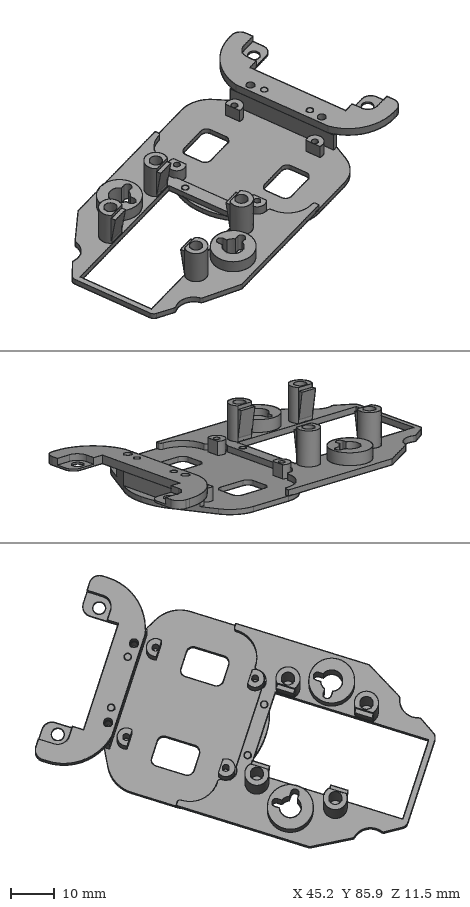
import cadquery as cq
import math


deck_top = 1.3
frame_top = 2.8
deck_boss_top = 4.7
bracket_bottom = 5.9
ring_top = bracket_bottom
bracket_top = 8.0
post_top = 11.5

pin_d = 1.5
pin_hole_d = 1.7
pin_x = 6.25
frame_pin_y = 13.2
bracket_pin_y = 45.9
screw_x = 9.75
screw_y = 45.5
screw_pilot_d = 1.55
screw_pilot_depth = 4.0
screw_clearance_d = 2.0

deck_half_width = 22.25
deck_center_y = 30.55
deck_straight_half = 5.4
deck_corner_r = 7.9
deck_turn = math.radians(62)
deck_half_length = 19.75
deck_end_half_width = 8.65
deck_slope = math.pi / 2 - deck_turn

deck_boss_x = 11.0
deck_boss_r = 2.1
rear_boss_y = 40.75
rear_boss_flat = 0.8
front_boss_y = 16.9
front_boss_flat = 1.25

deck_window_size = (7.3, 10.1)
deck_window_y = 28.95
deck_window_r = 1.6

wall_half_width = 14.15
wall_front = 43.75
wall_back = 48.1

frame_half_width = 22.4
frame_front = -26.42
frame_rear = 25.2
frame_shoulder_y = -6.8
frame_waist_start = (17.3, -15.8)
frame_waist_middle = (15.15, -16.8)
frame_waist_end = (14.1, -21.65)
frame_foot = (11.1, frame_front)
frame_shoulder_r = 1.0
frame_waist_r = 0.8
frame_foot_r = 1.6

window_half_width = 9.75
window_front = -25.05
window_rear = 11.7

cradle_center = (14.4, 24.4)
cradle_r = 6.5
cradle_tip_r = 0.7
cradle_edge_y = 14.9
boss_clearance_r = 2.5
cradle_blend_r = 0.8

ring_x = 15.55
ring_d = 10.5
keyhole_d = 5.0
keyhole_slot_width = 1.9
keyhole_slot_reach = 4.35

post_x = 11.7
post_ys = (9.25, -9.55)
post_d = 5.5
post_hole_d = 3.0
post_flat_x = 9.95
catch_tip_x = 8.9
catch_bottom = 3.7
catch_top = 10.6
catch_length = 4.2
catch_offset_y = -0.1

bracket_half_width = 45.17 / 2
bracket_rear = frame_front + 85.93
bracket_front = wall_front
bracket_arc_r = 12.5
bracket_arc_y = 56.0
notch_half_width = 13.1
notch_y = 50.35
arm_tip_r = 2.4
lug_pad_width = 5.2
lug_pad_length = 6.5
lug_pad_r = 2.7
lug_thickness = 0.5
lug_hole_d = 2.9
lug_hole_x = 15.55
lug_hole_y = 55.7


def both_sides(half):
    """Join a half-body with its mirror image across the YZ plane."""
    return half.union(half.mirror("YZ")).clean()


def cylinder(x, y, diameter, bottom, top):
    """Upright cylinder between two Z levels."""
    return cq.Workplane("XY", origin=(x, y, bottom)).circle(diameter / 2).extrude(top - bottom)


def block(x_range, y_range, z_range):
    """Box given by its lower and upper limits along each axis."""
    lower = (x_range[0], y_range[0], z_range[0])
    size = (x_range[1] - x_range[0], y_range[1] - y_range[0], z_range[1] - z_range[0])
    return cq.Workplane("XY", origin=lower).box(*size, centered=False)


def deck_outline(height):
    """Half of the deck outline: straight side, corner arcs, sloped edges and bowed ends."""
    def corner(angle):
        x = deck_half_width - deck_corner_r * (1 - math.cos(angle))
        return x, deck_straight_half + deck_corner_r * math.sin(angle)

    corner_end = corner(deck_turn)
    slope_rise = (corner_end[0] - deck_end_half_width) * math.tan(deck_slope)
    slope_end = (deck_end_half_width, corner_end[1] + slope_rise)
    end_r = deck_end_half_width / math.sin(deck_slope)
    end_center_y = deck_half_length - end_r
    end_middle = (end_r * math.sin(deck_slope / 2), end_center_y + end_r * math.cos(deck_slope / 2))

    def front(point):
        return point[0], -point[1]

    return (
        cq.Workplane("XY", origin=(0, deck_center_y, 0))
        .moveTo(0, -deck_half_length)
        .threePointArc(front(end_middle), front(slope_end))
        .lineTo(*front(corner_end))
        .threePointArc(front(corner(deck_turn / 2)), front(corner(0)))
        .lineTo(*corner(0))
        .threePointArc(corner(deck_turn / 2), corner_end)
        .lineTo(*slope_end)
        .threePointArc(end_middle, (0, deck_half_length))
        .close()
        .extrude(height)
    )


def deck_boss(y, flat_from, flat_to):
    """Round screw boss trimmed to the given range along Y."""
    boss = cylinder(deck_boss_x, y, 2 * deck_boss_r, 0, deck_boss_top)
    keep = block((0, deck_half_width), (y + flat_from, y + flat_to), (0, deck_boss_top))
    return boss.intersect(keep)


def make_deck():
    half = deck_outline(deck_top)

    wall = block((0, wall_half_width), (wall_front, wall_back), (0, bracket_bottom))
    half = half.union(wall.intersect(deck_outline(bracket_bottom)))

    half = half.union(deck_boss(rear_boss_y, -rear_boss_flat, deck_boss_r))
    half = half.union(deck_boss(front_boss_y, -deck_boss_r, front_boss_flat))
    for boss_y in (rear_boss_y, front_boss_y):
        half = half.cut(cylinder(deck_boss_x, boss_y, screw_pilot_d, 0, deck_boss_top))

    window = (
        cq.Workplane("XY", origin=(deck_boss_x, deck_window_y, 0))
        .rect(*deck_window_size)
        .extrude(deck_top)
        .edges("|Z")
        .fillet(deck_window_r)
    )
    half = half.cut(window)

    half = half.cut(
        cylinder(screw_x, screw_y, screw_pilot_d, bracket_bottom - screw_pilot_depth, bracket_bottom)
    )
    half = half.union(cylinder(pin_x, bracket_pin_y, pin_d, deck_top, bracket_top))
    half = half.union(cylinder(pin_x, frame_pin_y, pin_d, 0, frame_top))
    return both_sides(half)


def round_corner(plate, corner, radius):
    """Fillet the upright edge of the frame plate that is nearest to the given corner."""
    nearest = cq.selectors.NearestToPointSelector((*corner, (deck_top + frame_top) / 2))
    return plate.edges("|Z").edges(nearest).fillet(radius)


def frame_outline():
    """Half of the frame outline, stepped in at the waist, without the cradle cut-out."""
    blank = (
        cq.Workplane("XY", origin=(0, 0, deck_top))
        .moveTo(0, frame_front)
        .lineTo(*frame_foot)
        .lineTo(*frame_waist_end)
        .threePointArc(frame_waist_middle, frame_waist_start)
        .lineTo(frame_half_width, frame_shoulder_y)
        .lineTo(frame_half_width, frame_rear)
        .lineTo(0, frame_rear)
        .close()
        .extrude(frame_top - deck_top)
    )
    blank = round_corner(blank, frame_foot, frame_foot_r)
    blank = round_corner(blank, frame_waist_end, frame_waist_r)
    blank = round_corner(blank, frame_waist_start, frame_waist_r)
    return round_corner(blank, (frame_half_width, frame_shoulder_y), frame_shoulder_r)


def cradle_cut():
    """Half of the rear cut-out that leaves the deck and its front bosses clear."""
    center_x, center_y = cradle_center
    cut = cylinder(center_x, center_y, 2 * cradle_r, deck_top, frame_top)
    z_range = (deck_top, frame_top)
    cut = cut.union(block((0, center_x), (center_y - cradle_r, frame_rear), z_range))
    cut = cut.union(block((0, center_x + cradle_r), (center_y, frame_rear), z_range))
    cut = cut.union(block((0, deck_boss_x), (cradle_edge_y, frame_rear), z_range))
    clearance = cylinder(deck_boss_x, front_boss_y, 2 * boss_clearance_r, deck_top, frame_top)
    return cut.union(clearance).clean()


def keyhole():
    """Round keyhole with one slot toward +Y and one toward the middle of the part."""
    hole = cylinder(ring_x, 0, keyhole_d, deck_top, ring_top)
    tip = keyhole_slot_reach - keyhole_slot_width / 2
    half_slot = keyhole_slot_width / 2
    z_range = (deck_top, ring_top)
    hole = hole.union(block((ring_x - half_slot, ring_x + half_slot), (0, tip), z_range))
    hole = hole.union(block((ring_x - tip, ring_x), (-half_slot, half_slot), z_range))
    for x, y in ((ring_x, tip), (ring_x - tip, 0)):
        hole = hole.union(cylinder(x, y, keyhole_slot_width, deck_top, ring_top))
    return hole


def post(y):
    """Flat-sided post with a wedge-shaped catch that leans over the frame window."""
    body = cylinder(post_x, y, post_d, deck_top, post_top)
    keep = block((post_flat_x, post_x + post_d), (y - post_d, y + post_d), (deck_top, post_top))
    body = body.intersect(keep)
    catch = (
        cq.Workplane("XZ", origin=(0, y + catch_offset_y + catch_length / 2, 0))
        .moveTo(post_flat_x, catch_bottom)
        .lineTo(catch_tip_x, catch_top)
        .lineTo(post_x, catch_top)
        .lineTo(post_x, catch_bottom)
        .close()
        .extrude(catch_length)
    )
    return body.union(catch)


def make_frame():
    half = frame_outline()
    half = half.cut(cradle_cut())
    cradle_x, cradle_y = cradle_center
    half = round_corner(half, (cradle_x + cradle_r, frame_rear), cradle_tip_r)
    half = round_corner(half, (deck_boss_x + boss_clearance_r, cradle_y - cradle_r), cradle_blend_r)
    half = half.cut(block((0, window_half_width), (window_front, window_rear), (deck_top, frame_top)))
    half = half.cut(cylinder(pin_x, frame_pin_y, pin_hole_d, deck_top, frame_top))

    half = half.union(cylinder(ring_x, 0, ring_d, deck_top, ring_top))
    half = half.cut(keyhole())

    for post_y in post_ys:
        half = half.union(post(post_y))
        half = half.cut(cylinder(post_x, post_y, post_hole_d, frame_top, post_top))
    return both_sides(half)


def make_bracket():
    arc_x = bracket_half_width - bracket_arc_r
    drop = bracket_arc_y - bracket_front
    arc_end_angle = math.asin(drop / bracket_arc_r)

    def arc_point(angle):
        return arc_x + bracket_arc_r * math.cos(angle), bracket_arc_y - bracket_arc_r * math.sin(angle)

    half = (
        cq.Workplane("XY", origin=(0, 0, bracket_bottom))
        .moveTo(0, bracket_front)
        .lineTo(*arc_point(arc_end_angle))
        .threePointArc(arc_point(arc_end_angle / 2), arc_point(0))
        .lineTo(bracket_half_width, bracket_rear)
        .lineTo(notch_half_width, bracket_rear)
        .lineTo(notch_half_width, notch_y)
        .lineTo(0, notch_y)
        .close()
        .extrude(bracket_top - bracket_bottom)
        .edges("|Z and >Y")
        .fillet(arm_tip_r)
    )

    lug_floor = bracket_bottom + lug_thickness
    pad = block(
        (notch_half_width, notch_half_width + lug_pad_width),
        (bracket_rear - lug_pad_length, bracket_rear),
        (lug_floor, bracket_top),
    )
    half = half.cut(pad.edges("|Z and >X and <Y").fillet(lug_pad_r))
    half = half.cut(cylinder(lug_hole_x, lug_hole_y, lug_hole_d, bracket_bottom, lug_floor))
    half = half.cut(cylinder(screw_x, screw_y, screw_clearance_d, bracket_bottom, bracket_top))
    half = half.cut(cylinder(pin_x, bracket_pin_y, pin_hole_d, bracket_bottom, bracket_top))
    return both_sides(half)


deck = make_deck()
frame = make_frame()
bracket = make_bracket()

result = cq.Compound.makeCompound([deck.solids().val(), frame.solids().val(), bracket.solids().val()])